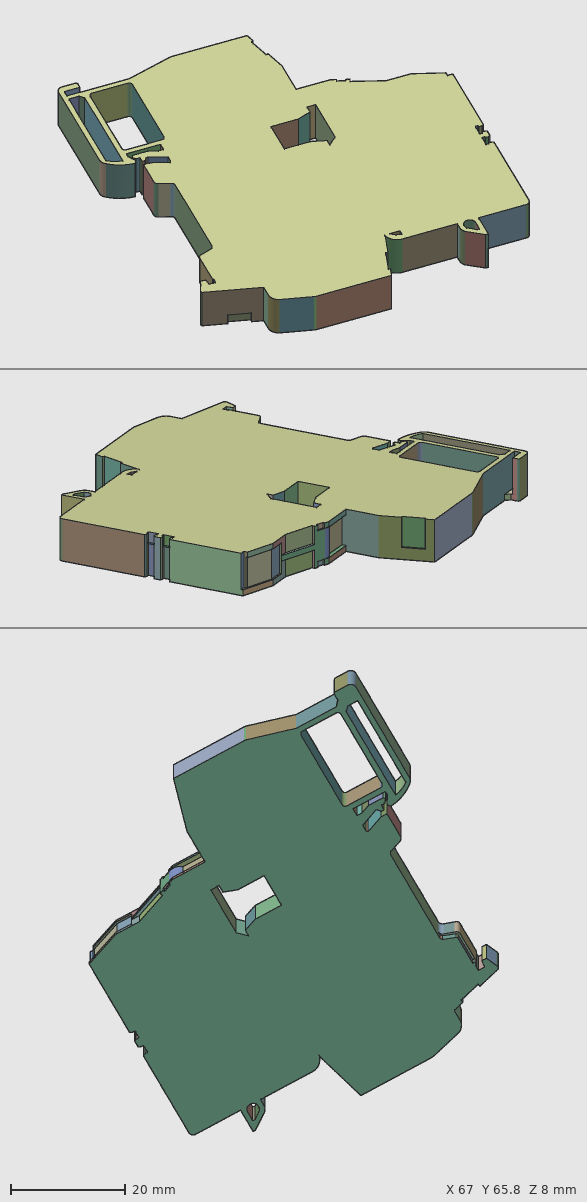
import cadquery as cq
import math

LENGTH = 67.0
HEIGHT = 65.81
THICK = 8.0
OVERLAP = 0.5

SHOULDER_Y = 38.88
SIDE_TOP_Y = 36.16
SIDE_BOTTOM_Y = 21.53
FOOT_Y = 6.7
SIDE_BLEND_X = 0.05
SIDE_BLEND_Y = 0.4
RAIL_Y = 9.86

TOWER_LEFT = 16.1
TOWER_RIGHT = 59.0
WAIST_X = 20.03
WAIST_TOP_Y = 59.05
WAIST_BOTTOM_Y = 55.88
SLOPE_BOTTOM_Y = 45.4
TOP_LEFT_X = 22.5
TOP_CORNER_R = 0.9
HEEL_R = 2.6
HEEL_TIP_X = 56.9

LEFT_SHOULDER_X = 9.63
RIGHT_SHOULDER_X = 57.4

LEG_X = 2.5
LEG_TOP_Y = 12.82
WALL = 1.0
FOOT_TOP_Y = 3.97
FOOT_END_X = 20.1
FOOT_LIP = (22.5, 5.85)
SLIT_LEFT = 20.3
SLIT_TOP_Y = 11.46
SLIT_BOTTOM_Y = 5.0
GAP_RIGHT = 24.0

FLANGE_LOW = 1.15
FLANGE_HIGH = 6.95


def prism(points, z_low=0.0, z_high=THICK):
    """Straight-sided prism between two Z levels."""
    return cq.Workplane("XY").workplane(offset=z_low).polyline(points).close().extrude(z_high - z_low)


def block(x_low, x_high, y_low, y_high, z_low=0.0, z_high=THICK):
    """Axis-aligned block."""
    corners = [(x_low, y_low), (x_high, y_low), (x_high, y_high), (x_low, y_high)]
    return prism(corners, z_low, z_high)


def edge_band(start, end, inset, z_low, z_high):
    """Cutter that sinks the straight edge start-end by inset, with the part to the right of its direction."""
    run = math.hypot(end[0] - start[0], end[1] - start[1])
    inward_x = (end[1] - start[1]) / run
    inward_y = -(end[0] - start[0]) / run
    corners = [
        (start[0] - OVERLAP * inward_x, start[1] - OVERLAP * inward_y),
        (start[0] + inset * inward_x, start[1] + inset * inward_y),
        (end[0] + inset * inward_x, end[1] + inset * inward_y),
        (end[0] - OVERLAP * inward_x, end[1] - OVERLAP * inward_y),
    ]
    return prism(corners, z_low, z_high)


def point_at_y(start, end, y):
    """Point on the line start-end at height y."""
    share = (y - start[1]) / (end[1] - start[1])
    return (start[0] + share * (end[0] - start[0]), y)


def point_at_x(start, end, x):
    """Point on the line start-end at position x."""
    share = (x - start[0]) / (end[0] - start[0])
    return (x, start[1] + share * (end[1] - start[1]))


UPPER_SLOPE = ((WAIST_X, WAIST_TOP_Y), (TOP_LEFT_X, HEIGHT))
LOWER_SLOPE = ((TOWER_LEFT, SLOPE_BOTTOM_Y), (WAIST_X, WAIST_BOTTOM_Y))
LEFT_SHOULDER = ((0, SIDE_TOP_Y), (LEFT_SHOULDER_X, SHOULDER_Y))
RIGHT_SHOULDER = ((RIGHT_SHOULDER_X, SHOULDER_Y), (LENGTH, SIDE_TOP_Y))
HOOK_BACK = ((58.5, 3.7), (61.37, 14.2))


def make_housing():
    """Housing plate with the tower, end walls, rail recess, fixed hook and spring clip."""
    relief = 0.2
    corner_mid = TOP_CORNER_R * (1 - math.sqrt(0.5))
    return (
        cq.Workplane("XY")
        .moveTo(LEG_X, 0)
        .lineTo(LEG_X, LEG_TOP_Y)
        .lineTo(SIDE_BLEND_X, SIDE_BOTTOM_Y)
        .lineTo(0, SIDE_BOTTOM_Y + SIDE_BLEND_Y)
        .lineTo(*LEFT_SHOULDER[0])
        .lineTo(*LEFT_SHOULDER[1])
        .lineTo(TOWER_LEFT, SHOULDER_Y)
        .lineTo(*LOWER_SLOPE[0])
        .lineTo(*LOWER_SLOPE[1])
        .lineTo(*UPPER_SLOPE[0])
        .lineTo(*UPPER_SLOPE[1])
        .lineTo(TOWER_RIGHT - TOP_CORNER_R, HEIGHT)
        .threePointArc(
            (TOWER_RIGHT - corner_mid, HEIGHT - corner_mid),
            (TOWER_RIGHT, HEIGHT - TOP_CORNER_R),
        )
        .lineTo(TOWER_RIGHT, SHOULDER_Y + HEEL_R)
        .threePointArc((58.55, 39.95), (57.55, 39.1))
        .lineTo(HEEL_TIP_X, SHOULDER_Y)
        .lineTo(*RIGHT_SHOULDER[0])
        .lineTo(*RIGHT_SHOULDER[1])
        .lineTo(LENGTH, SIDE_BOTTOM_Y + SIDE_BLEND_Y)
        .lineTo(LENGTH - SIDE_BLEND_X, SIDE_BOTTOM_Y)
        .lineTo(65.35, 15.6)
        .threePointArc((64.7, 14.65), (63.5, HOOK_BACK[1][1]))
        .lineTo(*HOOK_BACK[1])
        .lineTo(*HOOK_BACK[0])
        .threePointArc((58.25, 3.6), (57.8, 3.67))
        .lineTo(55.75, 4.56)
        .lineTo(55.75, 5.5)
        .lineTo(57.0, 5.65)
        .lineTo(57.0, FOOT_Y + relief)
        .lineTo(56.05, FOOT_Y + relief)
        .lineTo(56.05, FOOT_Y)
        .lineTo(50.2, FOOT_Y)
        .threePointArc((49.65, 6.9), (49.4, 7.35))
        .lineTo(48.75, 9.25)
        .threePointArc((48.5, 9.65), (48.1, RAIL_Y))
        .lineTo(30.9, RAIL_Y)
        .threePointArc((30.5, 9.65), (30.3, 9.25))
        .lineTo(29.6, 7.3)
        .threePointArc((29.3, 6.87), (28.9, FOOT_Y))
        .lineTo(GAP_RIGHT, FOOT_Y)
        .lineTo(GAP_RIGHT, 7.87)
        .lineTo(25.25, 11.2)
        .lineTo(25.0, SLIT_TOP_Y)
        .lineTo(23.8, SLIT_TOP_Y)
        .lineTo(22.5, 8.2)
        .lineTo(22.5, 7.85)
        .lineTo(23.15, 7.4)
        .lineTo(23.15, 6.8)
        .lineTo(22.15, 6.8)
        .lineTo(22.15, 6.1)
        .lineTo(21.6, 5.55)
        .lineTo(21.1, 5.85)
        .lineTo(21.1, 8.75)
        .lineTo(21.73, 10.5)
        .lineTo(21.73, SLIT_TOP_Y)
        .lineTo(SLIT_LEFT, SLIT_TOP_Y)
        .lineTo(SLIT_LEFT, SLIT_BOTTOM_Y)
        .lineTo(21.1, SLIT_BOTTOM_Y)
        .lineTo(*FOOT_LIP)
        .lineTo(23.15, 5.5)
        .threePointArc((22.55, 2.8), (21.35, 0.75))
        .threePointArc((20.8, 0.2), (FOOT_END_X, 0))
        .close()
        .extrude(THICK)
    )


def make_foot_hook():
    """J-shaped finger grip at the left end of the release foot, with a thin web closing its slot."""
    slot_left = 1.3
    corner_r = 1.1
    finger_tip_r = 0.4
    web_tip_y = 4.75
    web_step = 0.3
    base = block(0, LEG_X + WALL, 0, WALL)
    finger = block(0, slot_left, 0, FOOT_TOP_Y)
    hook = base.union(finger).edges("|Z").edges("<X and <Y").fillet(corner_r)
    hook = hook.edges("|Z").edges(">Y").edges("<X").fillet(finger_tip_r)
    web_points = [
        (slot_left, WALL),
        (LEG_X, WALL),
        (LEG_X, web_tip_y),
        (slot_left + web_step, FOOT_TOP_Y),
        (slot_left, FOOT_TOP_Y),
    ]
    return hook.union(prism(web_points, 0, FLANGE_LOW))


def make_latch_ear():
    """Small triangular ear on the right side of the tower."""
    ear_bottom = 51.85
    ear_tip = 63.5
    return (
        cq.Workplane("XY")
        .moveTo(TOWER_RIGHT - WALL, WAIST_BOTTOM_Y)
        .lineTo(ear_tip, WAIST_BOTTOM_Y)
        .lineTo(ear_tip, 55.4)
        .lineTo(61.4, 52.4)
        .threePointArc((60.8, 51.98), (60.1, ear_bottom))
        .lineTo(TOWER_RIGHT - WALL, ear_bottom)
        .close()
        .extrude(THICK)
    )


def cut_latch_hole():
    """Drop-shaped hole through the ear."""
    hole_top = 54.95
    hole_bottom = 52.85
    return (
        cq.Workplane("XY")
        .moveTo(59.9, hole_top)
        .lineTo(61.7, hole_top)
        .lineTo(61.75, 54.5)
        .lineTo(60.6, hole_bottom + 0.1)
        .threePointArc((60.3, hole_bottom), (59.5, hole_bottom))
        .threePointArc((58.85, 53.8), (59.9, hole_top))
        .close()
        .extrude(THICK)
    )


def cut_centre_window():
    """Funnel-shaped window through the middle of the housing."""
    throat_left, throat_right = 23.4, 29.6
    throat_bottom, throat_top = 31.1, 36.35
    mouth_left, mouth_top = 21.1, 40.5
    return prism([
        (throat_left, throat_bottom),
        (throat_right, throat_bottom),
        (throat_right, throat_top),
        (30.5, SHOULDER_Y),
        (31.7, SHOULDER_Y),
        (30.15, mouth_top),
        (mouth_left, mouth_top),
        (mouth_left, SHOULDER_Y),
        (22.5, SHOULDER_Y),
        (throat_left, throat_top),
    ])


def cut_foot_windows():
    """Two windows that leave the release foot as a thin frame."""
    upper_bottom, upper_top = FOOT_TOP_Y + 0.8, 12.75
    upper_corner_r = 0.6
    lower_top = 3.72
    lower_left = LEG_X + 0.87
    corner_cut = 0.75
    upper = block(LEG_X + WALL, SLIT_LEFT - WALL, upper_bottom, upper_top)
    upper = upper.edges("|Z").fillet(upper_corner_r)
    lower = (
        cq.Workplane("XY")
        .moveTo(lower_left, WALL)
        .lineTo(20.6, WALL)
        .threePointArc((21.3, 2.2), (21.75, lower_top))
        .lineTo(lower_left + corner_cut, lower_top)
        .lineTo(lower_left, lower_top - corner_cut)
        .close()
        .extrude(THICK)
    )
    return upper.union(lower)


def cut_top_slots():
    """Two through notches in the top edge, each with a shallow wider pocket at its floor."""
    neck_bottom = 64.85
    pocket_bottom = 64.3
    pocket_depth = 2.0
    mouth_flare = 0.2
    slots = [
        (37.2, 38.6, 36.9, 39.0),
        (40.25, 41.7, 40.0, 41.95),
    ]
    cutters = cq.Workplane("XY")
    for neck_left, neck_right, pocket_left, pocket_right in slots:
        neck = prism([
            (neck_left, neck_bottom),
            (neck_right, neck_bottom),
            (neck_right, HEIGHT - 2 * mouth_flare),
            (neck_right + mouth_flare, HEIGHT),
            (neck_left - mouth_flare, HEIGHT),
            (neck_left, HEIGHT - 2 * mouth_flare),
        ])
        pocket = block(pocket_left, pocket_right, pocket_bottom, neck_bottom, THICK - pocket_depth, THICK)
        cutters = cutters.add(neck).add(pocket)
    return cutters.combine()


def cut_upper_slope():
    """Shallow recess in the upper left slope and waist, framed by the edge flanges."""
    inset = 0.35
    flange_end_y = 64.8
    corner_x = TOP_LEFT_X + 0.35
    open_from = point_at_y(*UPPER_SLOPE, flange_end_y)
    slope = edge_band(UPPER_SLOPE[0], open_from, inset, FLANGE_LOW, FLANGE_HIGH)
    corner = block(open_from[0] - OVERLAP, corner_x, flange_end_y, HEIGHT, FLANGE_LOW, THICK)
    waist = edge_band((WAIST_X, WAIST_BOTTOM_Y), (WAIST_X, WAIST_TOP_Y), inset, FLANGE_LOW, FLANGE_HIGH)
    return slope.union(corner).union(waist)


def cut_lower_slope():
    """Two pockets in the lower left slope with a rib between them, and small notches in both flanges."""
    pocket_inset = 0.55
    rib_low, rib_high = 3.5, 4.55
    pocket_ends = (point_at_y(*LOWER_SLOPE, 48.6), LOWER_SLOPE[1])
    notch_inset = 0.35
    notch_ends = (point_at_y(*LOWER_SLOPE, 46.4), point_at_y(*LOWER_SLOPE, 47.85))
    beyond_waist = block(WAIST_X, WAIST_X + WALL, SHOULDER_Y, HEIGHT)
    cutters = cq.Workplane("XY")
    for z_low, z_high in ((0, rib_low), (rib_high, THICK)):
        cutters = cutters.add(edge_band(*pocket_ends, pocket_inset, z_low, z_high).cut(beyond_waist))
    for z_low, z_high in ((0, FLANGE_LOW), (FLANGE_HIGH, THICK)):
        cutters = cutters.add(edge_band(*notch_ends, notch_inset, z_low, z_high))
    return cutters.combine()


def cut_tower_side():
    """Recess between the flanges in the lower left wall of the tower, with a rounded upper end."""
    depth = 0.8
    round_top_y, round_bottom_y = SLOPE_BOTTOM_Y + 0.8, 43.8
    start = point_at_y(*LOWER_SLOPE, round_top_y)
    return (
        cq.Workplane("XY")
        .workplane(offset=FLANGE_LOW)
        .moveTo(*start)
        .threePointArc((TOWER_LEFT + depth / 3, 44.8), (TOWER_LEFT + depth, round_bottom_y))
        .lineTo(TOWER_LEFT + depth, SHOULDER_Y)
        .lineTo(TOWER_LEFT - OVERLAP, SHOULDER_Y)
        .lineTo(TOWER_LEFT - OVERLAP, round_top_y)
        .close()
        .extrude(FLANGE_HIGH - FLANGE_LOW)
    )


def cut_label_grooves():
    """Mirror-image label grooves in the two sloping shoulders, open at the upper face."""
    inset = 0.4
    floor_z = 2.3
    near, far = 1.65, 5.75
    left = edge_band(point_at_x(*LEFT_SHOULDER, near), point_at_x(*LEFT_SHOULDER, far), inset, floor_z, THICK)
    right = edge_band(
        point_at_x(*RIGHT_SHOULDER, LENGTH - far),
        point_at_x(*RIGHT_SHOULDER, LENGTH - near),
        inset,
        floor_z,
        THICK,
    )
    return left.union(right)


def cut_heel_pocket():
    """Blind triangular pocket in the heel of the tower."""
    depth = 2.0
    top_y = 41.85
    return prism(
        [(HEEL_TIP_X, 39.85), (57.6, 40.8), (57.85, top_y), (HEEL_TIP_X, top_y)],
        THICK - depth,
        THICK,
    )


def cut_hook_notch():
    """Shallow notch low on the sloping back of the fixed hook."""
    depth = 0.5
    height = 2.1
    return edge_band(
        point_at_x(*HOOK_BACK, 60.8),
        point_at_x(*HOOK_BACK, 59.7),
        depth,
        0,
        height,
    )


def cut_foot_recess():
    """Shallow recess low on the inner flank and underside of the right rail foot."""
    depth = 0.4
    height = 2.1
    recess_end_x = 55.4
    rail_x = 48.0
    return prism(
        [
            (rail_x, RAIL_Y),
            (48.6, RAIL_Y),
            (48.95, 9.6),
            (49.8, 7.3),
            (50.0, FOOT_Y + depth),
            (recess_end_x, FOOT_Y + depth),
            (recess_end_x, FOOT_Y - OVERLAP),
            (rail_x, FOOT_Y - OVERLAP),
        ],
        0,
        height,
    )


housing = make_housing()
for addition in (make_foot_hook(), make_latch_ear()):
    housing = housing.union(addition)

for cutter in (
    cut_latch_hole(),
    cut_centre_window(),
    cut_foot_windows(),
    cut_top_slots(),
    cut_upper_slope(),
    cut_lower_slope(),
    cut_tower_side(),
    cut_label_grooves(),
    cut_heel_pocket(),
    cut_hook_notch(),
    cut_foot_recess(),
):
    housing = housing.cut(cutter)

result = housing